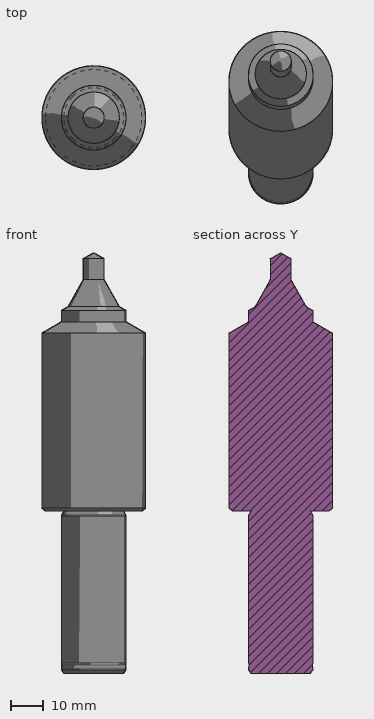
import cadquery as cq

body_diameter = 32.0
body_radius = body_diameter / 2
shank_radius = 10.0
collar_radius = shank_radius
cone_base_radius = 7.9
tip_radius = 3.2

total_height = 129.5
tip_shoulder_z = 127.7
cone_top_z = 121.2
cone_base_z = 112.9
collar_top_z = 111.8
collar_base_z = 108.3
body_top_z = 104.8
body_base_z = 50.0
shank_top_z = 48.5
neck_flare_z = 49.0

body_chamfer_width = 1.2
body_chamfer_height = 0.9
shank_chamfer_width = 0.8
shank_chamfer_height = 1.2
neck_depth = 0.8
neck_rim_depth = 0.1

groove_top_z = 3.4
groove_middle_z = 2.6
groove_base_z = 1.5
groove_depth = 0.1

profile = [
    (0, 0),
    (shank_radius - shank_chamfer_width, 0),
    (shank_radius, shank_chamfer_height),
    (shank_radius, groove_base_z),
    (shank_radius - groove_depth, groove_middle_z),
    (shank_radius, groove_top_z),
    (shank_radius, shank_top_z),
    (shank_radius - neck_rim_depth, neck_flare_z),
    (shank_radius - neck_depth, body_base_z),
    (body_radius - body_chamfer_width, body_base_z),
    (body_radius, body_base_z + body_chamfer_height),
    (body_radius, body_top_z),
    (collar_radius, collar_base_z),
    (collar_radius, collar_top_z),
    (cone_base_radius, cone_base_z),
    (tip_radius, cone_top_z),
    (tip_radius, tip_shoulder_z),
    (0, total_height),
]

axis_start = (0, 0)
axis_end = (0, 1)
result = cq.Workplane("XZ").polyline(profile).close().revolve(360, axis_start, axis_end)